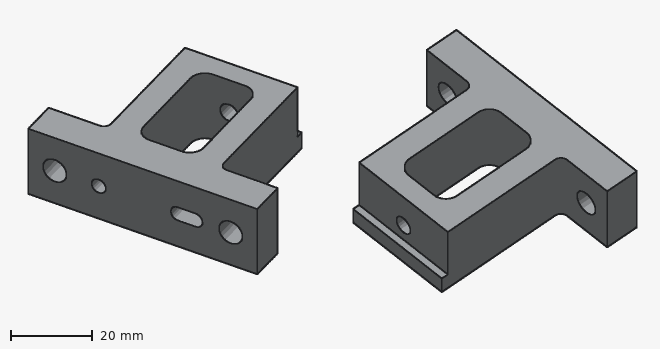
import cadquery as cq
import math

flange_length = 65.0
flange_thickness = 9.95
height = 20.0

total_depth = 49.9
post_width = 32.0
root_fillet = 2.1

ledge_depth = 2.0
ledge_height = 4.9

window_width = 17.0
window_length = 30.95
window_front = 11.0
window_corner_radius = 4.0

bolt_hole_diameter = 6.6
bolt_hole_offset = 24.95
pin_diameter = 4.0
pin_offset = 12.5
pin_depth = 6.0
drill_tip_angle = 118.0
slot_length = 9.0

rear_hole_diameter = 5.0

mid_height = height / 2
window_rear = window_front + window_length


def hole_along_y(diameter, x, y_start, y_end):
    """Cylinder at mid height running from y_start to y_end."""
    axis_start = cq.Vector(x, y_start, mid_height)
    return cq.Workplane(
        cq.Solid.makeCylinder(diameter / 2, y_end - y_start, axis_start, cq.Vector(0, 1, 0))
    )


def make_body():
    """T-shaped block with rounded inner corners."""
    flange = cq.Workplane("XY").box(
        flange_length, flange_thickness, height, centered=(True, False, False)
    )
    post = cq.Workplane("XY").box(post_width, total_depth, height, centered=(True, False, False))
    body = flange.union(post)
    for side in (-1, 1):
        root = cq.NearestToPointSelector((side * post_width / 2, flange_thickness, mid_height))
        body = body.edges("|Z").edges(root).fillet(root_fillet)
    return body


def make_ledge_cut():
    """Material removed above the rear ledge."""
    return (
        cq.Workplane("XY", origin=(0, total_depth - ledge_depth, ledge_height))
        .box(post_width, ledge_depth, height - ledge_height, centered=(True, False, False))
    )


def make_window():
    return (
        cq.Workplane("XY", origin=(0, window_front, 0))
        .box(window_width, window_length, height, centered=(True, False, False))
        .edges("|Z")
        .fillet(window_corner_radius)
    )


def make_pin_hole():
    """Blind drilled hole with a conical bottom."""
    radius = pin_diameter / 2
    tip_length = radius / math.tan(math.radians(drill_tip_angle / 2))
    tip_start = cq.Vector(-pin_offset, pin_depth, mid_height)
    tip = cq.Solid.makeCone(radius, 0, tip_length, tip_start, cq.Vector(0, 1, 0))
    return hole_along_y(pin_diameter, -pin_offset, 0, pin_depth).union(cq.Workplane(tip))


def make_slot():
    """Blind flat-bottomed slot as wide and as deep as the pin hole."""
    return (
        cq.Workplane("XZ", origin=(pin_offset, 0, mid_height))
        .slot2D(slot_length, pin_diameter)
        .extrude(-pin_depth)
    )


result = make_body().cut(make_ledge_cut()).cut(make_window())
for side in (-1, 1):
    result = result.cut(
        hole_along_y(bolt_hole_diameter, side * bolt_hole_offset, 0, flange_thickness)
    )
result = result.cut(make_pin_hole()).cut(make_slot())
result = result.cut(hole_along_y(rear_hole_diameter, 0, window_rear, total_depth))